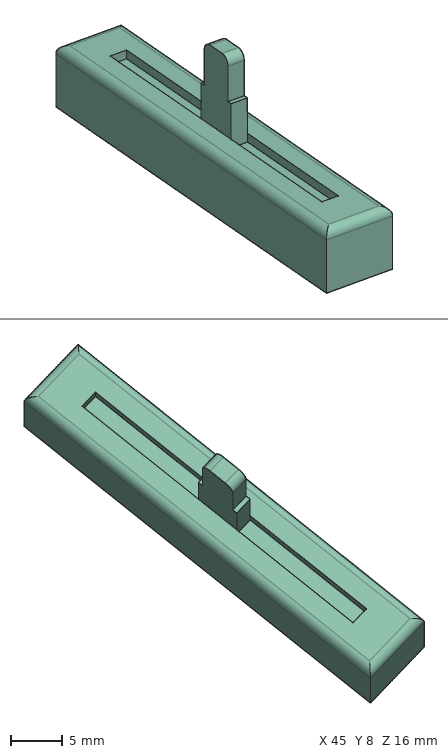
import cadquery as cq

body_length = 45.0
body_width = 8.0
body_height = 7.0
edge_radius = 1.0

slot_length = 35.2
slot_width = 2.0
slot_depth = 1.0

overall_height = 16.0
stem_length = 5.0
stem_rise = 4.0
tip_length = 3.95
tip_radius = 1.0
lever_thickness = slot_width

slot_floor = body_height - slot_depth
stem_top = body_height + stem_rise


def centered_block(length, width, bottom, top):
    """Block centred on the Z axis, spanning bottom to top."""
    return cq.Workplane("XY").workplane(offset=bottom).rect(length, width).extrude(top - bottom)


def make_body():
    """Housing with all upper edges rounded and a blind slot in its top."""
    housing = centered_block(body_length, body_width, 0, body_height)
    housing = housing.faces(">Z").edges().fillet(edge_radius)
    slot = centered_block(slot_length, slot_width, slot_floor, body_height)
    return housing.cut(slot)


def make_lever():
    """Flat lever standing on the slot floor, with rounded tip corners."""
    stem = centered_block(stem_length, lever_thickness, slot_floor, stem_top)
    tip = centered_block(tip_length, lever_thickness, stem_top, overall_height)
    tip = tip.faces(">Z").edges("|Y").fillet(tip_radius)
    return stem.union(tip)


result = make_body().union(make_lever())